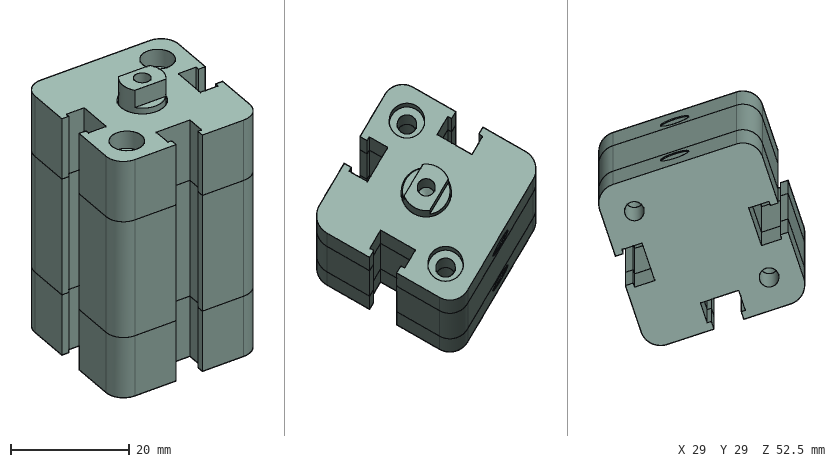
import cadquery as cq
import math

body_width = 29.0
half_width = body_width / 2
corner_radius = 3.5

body_height = 48.0
cap_height = 12.25
tube_height = body_height - 2 * cap_height
front_cap_base = body_height - cap_height

slot_opening = 5.3
slot_inner_width = 6.8
slot_depth = 5.0
slot_lip = 1.4
slot_angles = (-90, 0, 90)

mount_offset = 9.0
mount_points = [(-mount_offset, mount_offset), (mount_offset, -mount_offset)]
mount_hole_diameter = 3.3
counterbore_diameter = 6.0
counterbore_depth = 3.5

port_diameter = 5.0
port_depth = 0.2
port_end_distance = 8.0

rod_diameter = 8.0
rod_bore_diameter = 8.5
rod_projection = 4.5
rod_collar_height = 1.0
rod_flat_width = 5.0
rod_hole_diameter = 3.0
rod_hole_depth = 8.0
drill_point_angle = 118.0


def slot_cutter(angle, base, height):
    """T-slot opening toward +X, turned about Z by the given angle."""
    opening = (
        cq.Workplane("XY")
        .box(slot_depth, slot_opening, height, centered=(False, True, False))
        .translate((half_width - slot_depth, 0, base))
    )
    channel = (
        cq.Workplane("XY")
        .box(slot_depth - slot_lip, slot_inner_width, height, centered=(False, True, False))
        .translate((half_width - slot_depth, 0, base))
    )
    return opening.union(channel).rotate((0, 0, 0), (0, 0, 1), angle)


def slotted_block(base, height):
    """Rounded square block with the three T-slots and the mounting holes."""
    block = (
        cq.Workplane("XY", origin=(0, 0, base))
        .rect(body_width, body_width)
        .extrude(height)
        .edges("|Z")
        .fillet(corner_radius)
    )
    for angle in slot_angles:
        block = block.cut(slot_cutter(angle, base, height))
    mount_holes = (
        cq.Workplane("XY", origin=(0, 0, base))
        .pushPoints(mount_points)
        .circle(mount_hole_diameter / 2)
        .extrude(height)
    )
    return block.cut(mount_holes)


def port_cutter(height):
    """Shallow round recess on the -X side, centred at the given height."""
    return (
        cq.Workplane("YZ", origin=(-half_width, 0, height))
        .circle(port_diameter / 2)
        .extrude(port_depth)
    )


def make_rear_cap():
    return slotted_block(0, cap_height).cut(port_cutter(port_end_distance))


def make_tube():
    return slotted_block(cap_height, tube_height)


def make_front_cap():
    cap = slotted_block(front_cap_base, cap_height)
    cap = cap.cut(port_cutter(body_height - port_end_distance))
    counterbores = (
        cq.Workplane("XY", origin=(0, 0, body_height))
        .pushPoints(mount_points)
        .circle(counterbore_diameter / 2)
        .extrude(-counterbore_depth)
    )
    rod_bore = (
        cq.Workplane("XY", origin=(0, 0, front_cap_base))
        .circle(rod_bore_diameter / 2)
        .extrude(cap_height)
    )
    return cap.cut(counterbores).cut(rod_bore)


def make_piston_rod():
    """Rod standing on the tube, with two wrench flats and a drilled end hole."""
    rod_length = cap_height + rod_projection
    rod_top = front_cap_base + rod_length
    rod = (
        cq.Workplane("XY", origin=(0, 0, front_cap_base))
        .circle(rod_diameter / 2)
        .extrude(rod_length)
    )
    flat_height = rod_projection - rod_collar_height
    flatted_end = (
        cq.Workplane("XY", origin=(0, 0, rod_top - flat_height))
        .rect(rod_flat_width, rod_diameter)
        .extrude(flat_height)
    )
    end_zone = (
        cq.Workplane("XY", origin=(0, 0, rod_top - flat_height))
        .rect(rod_diameter, rod_diameter)
        .extrude(flat_height)
    )
    rod = rod.cut(end_zone.cut(flatted_end))

    hole_radius = rod_hole_diameter / 2
    point_depth = hole_radius / math.tan(math.radians(drill_point_angle / 2))
    drilled_hole = (
        cq.Workplane("XZ", origin=(0, 0, rod_top))
        .lineTo(hole_radius, 0)
        .lineTo(hole_radius, -rod_hole_depth)
        .lineTo(0, -rod_hole_depth - point_depth)
        .close()
        .revolve(360, (0, 0, 0), (0, 1, 0))
    )
    return rod.cut(drilled_hole)


rear_cap = make_rear_cap()
tube = make_tube()
front_cap = make_front_cap()
piston_rod = make_piston_rod()

result = cq.Compound.makeCompound([rear_cap.val(), tube.val(), front_cap.val(), piston_rod.val()])